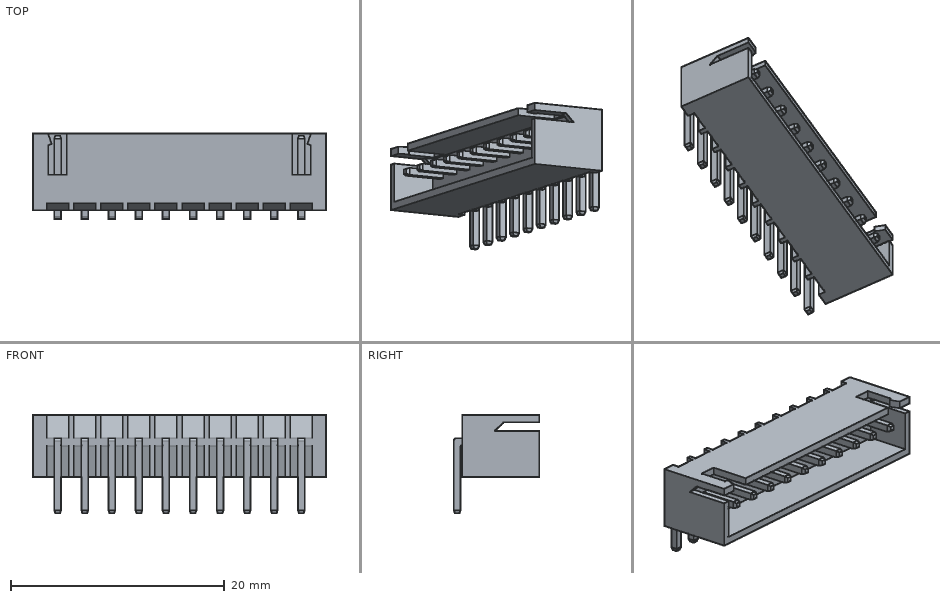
import cadquery as cq
housing_length = 27.53
housing_depth = 7.25
housing_height = 5.85
top_z = housing_height

end_wall = 0.65
flat_wall = 0.7
cavity_depth = 4.15

latch_arm_width = 1.43
notch_width = 1.75
notch_depth = 3.88
slot_height = 0.8
slot_depth_top = 3.33
slot_depth_bottom = cavity_depth
slot_top_z = top_z - flat_wall
slot_bottom_z = slot_top_z - slot_height
barb_height = 0.33
barb_peak = 1.0
barb_length = 1.13

contact_count = 10
contact_row_span = 22.85
contact_pitch = contact_row_span / (contact_count - 1)
pin_width = 0.65
pin_drop = 2.17
pin_top_z = top_z - pin_drop
pin_bottom_z = pin_top_z - pin_width
leg_gap = 0.15
leg_front_y = -(leg_gap + pin_width)
leg_reach = 3.39
leg_end_z = -leg_reach
mating_tip_recess = 0.22
mating_tip_y = housing_depth - mating_tip_recess
tip_length = 0.3
tip_inset = 0.1
bend_outer_radius = 0.25
bend_inner_radius = 0.15

pocket_width = 2.06
pocket_depth = 0.65
pocket_gap = 0.03

contact_xs = [contact_pitch * (i - (contact_count - 1) / 2) for i in range(contact_count)]


def extrude_along_x(points, width, center_x=0.0):
    """Extrude a closed (y, z) outline along X, centred on center_x."""
    outline = cq.Workplane("YZ").polyline(points).close()
    return outline.extrude(width / 2, both=True).translate((center_x, 0, 0))


def make_shell():
    """Box with a rectangular mating cavity open at +Y."""
    block = cq.Workplane("XY").box(
        housing_length, housing_depth, housing_height, centered=(True, False, False)
    )
    cavity = cq.Workplane("XY").box(
        housing_length - 2 * end_wall,
        cavity_depth,
        housing_height - 2 * flat_wall,
        centered=(True, False, False),
    )
    return block.cut(cavity.translate((0, housing_depth - cavity_depth, flat_wall)))


def make_notch(side):
    """Opening through the top wall beside a latch arm, with the arm's barb left standing."""
    arm_x = housing_length / 2 - latch_arm_width
    inner_x = arm_x - notch_width
    back_y = housing_depth - notch_depth
    points = [
        (arm_x, housing_depth),
        (arm_x - barb_height, housing_depth - barb_peak),
        (arm_x, housing_depth - barb_length),
        (arm_x, back_y),
        (inner_x, back_y),
        (inner_x, housing_depth),
    ]
    outline = [(side * x, y) for x, y in points]
    return cq.Workplane("XY", origin=(0, 0, slot_top_z)).polyline(outline).close().extrude(flat_wall)


def make_arm_slots():
    """Slanted-end slot under both latch arms, through the two end walls."""
    points = [
        (housing_depth, slot_top_z),
        (housing_depth - slot_depth_top, slot_top_z),
        (housing_depth - slot_depth_bottom, slot_bottom_z),
        (housing_depth, slot_bottom_z),
    ]
    return extrude_along_x(points, housing_length)


def make_pockets(center_x):
    """Two wedges that deepen away from the contact towards the top and the bottom."""
    upper_z = pin_top_z + pocket_gap
    lower_z = pin_bottom_z - pocket_gap
    upper = [(0, upper_z), (0, top_z), (pocket_depth, top_z)]
    lower = [(0, lower_z), (0, 0), (pocket_depth, 0)]
    upper_wedge = extrude_along_x(upper, pocket_width, center_x)
    return upper_wedge.union(extrude_along_x(lower, pocket_width, center_x))


def make_tip(direction, center):
    """Tapered pin end that starts at center and points along direction."""
    end_width = pin_width - 2 * tip_inset
    start = cq.Workplane(cq.Plane(origin=center, xDir=(1, 0, 0), normal=direction))
    return start.rect(pin_width, pin_width).workplane(offset=tip_length).rect(end_width, end_width).loft()


def round_bend(pin, center_x, y, z, radius):
    """Fillet the pin's X-direction edge that passes through (y, z)."""
    corner = cq.selectors.NearestToPointSelector((center_x, y, z))
    return pin.edges("|X").edges(corner).fillet(radius)


def make_contact(center_x):
    """Right-angle pin from the mating cavity to the solder leg, tapered at both ends."""
    mating_shoulder_y = mating_tip_y - tip_length
    leg_shoulder_z = leg_end_z + tip_length
    profile = [
        (mating_shoulder_y, pin_top_z),
        (leg_front_y, pin_top_z),
        (leg_front_y, leg_shoulder_z),
        (-leg_gap, leg_shoulder_z),
        (-leg_gap, pin_bottom_z),
        (mating_shoulder_y, pin_bottom_z),
    ]
    pin = extrude_along_x(profile, pin_width, center_x)
    pin = round_bend(pin, center_x, leg_front_y, pin_top_z, bend_outer_radius)
    pin = round_bend(pin, center_x, -leg_gap, pin_bottom_z, bend_inner_radius)
    mating_center = (center_x, mating_shoulder_y, (pin_top_z + pin_bottom_z) / 2)
    leg_center = (center_x, leg_front_y + pin_width / 2, leg_shoulder_z)
    pin = pin.union(make_tip((0, 1, 0), mating_center))
    return pin.union(make_tip((0, 0, -1), leg_center))


result = make_shell().cut(make_arm_slots())
for side in (-1, 1):
    result = result.cut(make_notch(side))
for contact_x in contact_xs:
    result = result.cut(make_pockets(contact_x))
for contact_x in contact_xs:
    result = result.union(make_contact(contact_x))